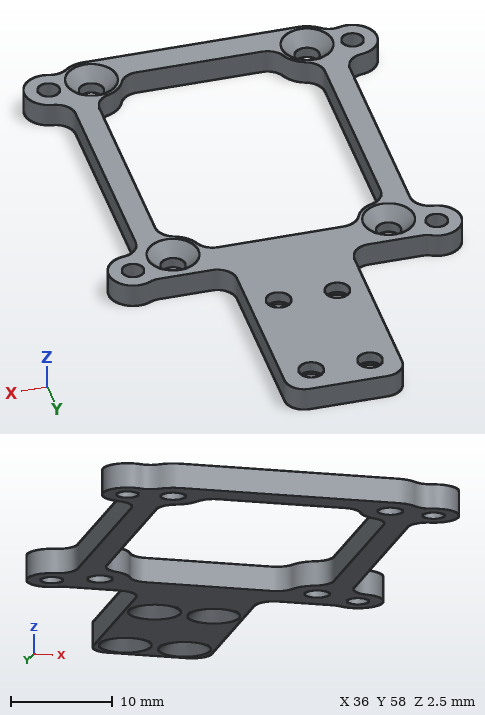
import cadquery as cq

thickness = 2.5
blend_radius = 2.0

screw_hole_diameter = 2.5
countersink_diameter = 5.2

boss_spacing_x = 22.0
boss_spacing_y = 30.0
boss_radius = 3.0

lug_spacing = 31.0
lug_center_y = 1.0
lug_radius = 2.5
lug_hole_diameter = 2.2

window_width = 23.0
window_length = boss_spacing_y
rail_width = 2.5
top_bar_width = 3.5
frame_width = window_width + 2 * rail_width
frame_bottom_y = -boss_spacing_y / 2 - boss_radius
frame_top_y = window_length / 2 + top_bar_width

tab_width = 12.0
tab_end_y = 40.0
tab_hole_spacing_x = 6.0
tab_hole_spacing_y = 12.0
tab_hole_end_margin = 3.0
tab_holes_center_y = tab_end_y - tab_hole_end_margin - tab_hole_spacing_y / 2


def block(width, y_min, y_max):
    """Plate-thick rectangle, symmetric about the YZ plane."""
    height = y_max - y_min
    return cq.Workplane("XY").center(0, (y_min + y_max) / 2).rect(width, height).extrude(thickness)


def at_corners(spacing_x, spacing_y, center_y=0.0):
    """Workplane with a point on each corner of a rectangle."""
    plane = cq.Workplane("XY", origin=(0, center_y, 0))
    return plane.rect(spacing_x, spacing_y, forConstruction=True).vertices()


def bosses():
    """Four discs that carry the countersunk screws of the frame."""
    return at_corners(boss_spacing_x, boss_spacing_y).circle(boss_radius).extrude(thickness)


def lugs():
    """Four discs that stick out past the corners of the frame."""
    return at_corners(lug_spacing, lug_spacing, lug_center_y).circle(lug_radius).extrude(thickness)


def round_corners(body, first_offset):
    """Offset the outline by first_offset and back: outward rounds inside corners, inward outside ones."""
    outline = body.faces("<Z").wires().val()
    moved = outline.offset2D(first_offset)[0]
    restored = moved.offset2D(-first_offset)[0]
    return cq.Workplane("XY").add(restored).toPending().extrude(thickness)


def outer_body():
    """Solid outline of frame, lugs and tab, with its inside corners rounded."""
    lug_bottom_y = lug_center_y - lug_spacing / 2
    lug_top_y = lug_center_y + lug_spacing / 2
    rails = block(frame_width, lug_bottom_y, lug_top_y)
    bottom_bar = block(boss_spacing_x, frame_bottom_y, lug_bottom_y)
    top_bar = block(lug_spacing, window_length / 2, frame_top_y)
    tab = block(tab_width, 0, tab_end_y)
    body = rails.union(bottom_bar).union(top_bar).union(tab).union(bosses()).union(lugs()).clean()
    rounded = round_corners(body, blend_radius)
    return rounded.faces(">Y").edges("|Z").fillet(blend_radius)


def window():
    """Opening of the frame: a rectangle less the bosses, blended into them."""
    opening = block(window_width, -window_length / 2, window_length / 2).cut(bosses())
    return round_corners(opening, -blend_radius)


def countersunk_cutter():
    """Screw hole up the Z axis with a 90 degree cone widening to the top face."""
    hole_radius = screw_hole_diameter / 2
    head_radius = countersink_diameter / 2
    cone_base_z = thickness - (head_radius - hole_radius)
    profile = (
        cq.Workplane("XZ")
        .lineTo(hole_radius, 0)
        .lineTo(hole_radius, cone_base_z)
        .lineTo(head_radius, thickness)
        .lineTo(0, thickness)
        .close()
    )
    return profile.revolve().val()


def drill(body):
    """Plain lug holes; boss holes countersunk from above and tab holes from below."""
    upward_cutter = countersunk_cutter()
    downward_cutter = upward_cutter.mirror("XY", (0, 0, thickness / 2))
    lug_points = at_corners(lug_spacing, lug_spacing, lug_center_y)
    boss_points = at_corners(boss_spacing_x, boss_spacing_y)
    tab_points = at_corners(tab_hole_spacing_x, tab_hole_spacing_y, tab_holes_center_y)
    body = body.cut(lug_points.circle(lug_hole_diameter / 2).extrude(thickness))
    body = body.cut(boss_points.eachpoint(lambda spot: upward_cutter.moved(spot), combine=False))
    return body.cut(tab_points.eachpoint(lambda spot: downward_cutter.moved(spot), combine=False))


result = drill(outer_body().cut(window()))